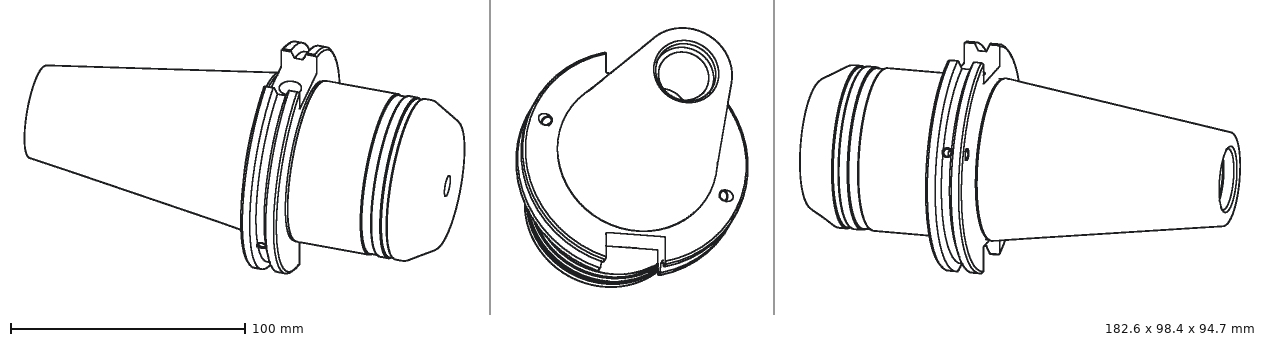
import cadquery as cq
import math


TAPER_LENGTH = 101.6
GAUGE_RADIUS = 69.85 / 2
TAPER_RATIO = 7 / 24
TAPER_END_RADIUS = GAUGE_RADIUS - TAPER_LENGTH * TAPER_RATIO / 2
TAPER_END_FILLET = 1.0

NECK_RADIUS = 68.9 / 2
NECK_FILLET = 0.6
NECK_RAMP = 0.8

FLANGE_START = 3.18
FLANGE_END = 19.05
FLANGE_CENTER = (FLANGE_START + FLANGE_END) / 2
FLANGE_RADIUS = 98.43 / 2
FLANGE_CHAMFER = 1.0
V_CENTER = 11.0
V_FLOOR_WIDTH = 3.6
V_TOP_WIDTH = 7.1
V_FLOOR_RADIUS = 45.65

BODY_RADIUS = 69.9 / 2
COLLAR_RADIUS = 69.25 / 2
COLLAR_END = 20.1
NOSE_END = 81.0
NOSE_START = 68.2
NOSE_ANGLE = 30
NOSE_FILLET = 3.0
RING_GROOVES = ((52.5, 57.5), (61.2, 64.4))
RING_GROOVE_DEPTH = 0.5

THROUGH_RADIUS = 8.92 / 2
THREAD_RADIUS = 21.97 / 2
THREAD_DEPTH = 50.0
DRILL_POINT_ANGLE = 118
COUNTERBORE_RADIUS = 26.2 / 2
COUNTERBORE_DEPTH = 5.5
MOUTH_RADIUS = 28.4 / 2

SLOT_WIDTH = 25.9
SLOT_FLARE_START = 46.85
SLOT_FILLET = 0.6
SLOT_FLOOR_TOP = 37.7
SLOT_FLOOR_BOTTOM = 35.3
DIMPLE_RADIUS = 9.53 / 2

COOLANT_ANGLE = 20
COOLANT_TILT = 35
COOLANT_PITCH_RADIUS = 42.0
COOLANT_MOUTH_RADIUS = 5.0 / 2
COOLANT_MOUTH_DEPTH = 1.7
COOLANT_RADIUS = 4.13 / 2
COOLANT_DEPTH = 6.4

PLUG_RADIUS = 3.24 / 2
PLUG_MOUTH_RADIUS = 4.2 / 2
PLUG_DEPTH = 8.0


def drill_point_length(radius):
    """Axial length of a drill-point cone of the given base radius."""
    return radius / math.tan(math.radians(DRILL_POINT_ANGLE / 2))


def make_body():
    """Revolved outer shape."""
    nose_drop = (NOSE_END - NOSE_START) * math.tan(math.radians(NOSE_ANGLE))
    profile = (
        cq.Workplane("XY")
        .moveTo(-TAPER_LENGTH, 0)
        .lineTo(-TAPER_LENGTH, TAPER_END_RADIUS)
        .lineTo(0, GAUGE_RADIUS)
        .lineTo(NECK_RAMP, NECK_RADIUS)
        .lineTo(FLANGE_START - NECK_FILLET, NECK_RADIUS)
        .radiusArc((FLANGE_START, NECK_RADIUS + NECK_FILLET), -NECK_FILLET)
        .lineTo(FLANGE_START, FLANGE_RADIUS - FLANGE_CHAMFER)
        .lineTo(FLANGE_START + FLANGE_CHAMFER, FLANGE_RADIUS)
        .lineTo(V_CENTER - V_TOP_WIDTH / 2, FLANGE_RADIUS)
        .lineTo(V_CENTER - V_FLOOR_WIDTH / 2, V_FLOOR_RADIUS)
        .lineTo(V_CENTER + V_FLOOR_WIDTH / 2, V_FLOOR_RADIUS)
        .lineTo(V_CENTER + V_TOP_WIDTH / 2, FLANGE_RADIUS)
        .lineTo(FLANGE_END - FLANGE_CHAMFER, FLANGE_RADIUS)
        .lineTo(FLANGE_END, FLANGE_RADIUS - FLANGE_CHAMFER)
        .lineTo(FLANGE_END, COLLAR_RADIUS)
        .lineTo(COLLAR_END, COLLAR_RADIUS)
        .lineTo(COLLAR_END, BODY_RADIUS)
    )
    for start, end in RING_GROOVES:
        profile = (
            profile.lineTo(start, BODY_RADIUS)
            .lineTo(start + RING_GROOVE_DEPTH, BODY_RADIUS - RING_GROOVE_DEPTH)
            .lineTo(end - RING_GROOVE_DEPTH, BODY_RADIUS - RING_GROOVE_DEPTH)
            .lineTo(end, BODY_RADIUS)
        )
    profile = (
        profile.lineTo(NOSE_START, BODY_RADIUS)
        .lineTo(NOSE_END, BODY_RADIUS - nose_drop)
        .lineTo(NOSE_END, 0)
        .close()
    )
    body = profile.revolve(360, (0, 0, 0), (1, 0, 0))
    nose_edges = cq.selectors.BoxSelector(
        (NOSE_START - NOSE_FILLET, -BODY_RADIUS, -BODY_RADIUS),
        (NOSE_END + NOSE_FILLET, BODY_RADIUS, BODY_RADIUS),
    )
    body = body.edges(nose_edges).edges("%CIRCLE").fillet(NOSE_FILLET)
    return body.faces("<X").edges().fillet(TAPER_END_FILLET)


def make_bore():
    """Stepped drawbar bore opening at the small end, drilled through to the nose."""
    mouth = -TAPER_LENGTH
    mouth_chamfer = MOUTH_RADIUS - COUNTERBORE_RADIUS
    thread_end = mouth + THREAD_DEPTH
    point_end = thread_end + drill_point_length(THREAD_RADIUS - THROUGH_RADIUS)
    return (
        cq.Workplane("XY")
        .moveTo(mouth, 0)
        .lineTo(mouth, MOUTH_RADIUS)
        .lineTo(mouth + mouth_chamfer, COUNTERBORE_RADIUS)
        .lineTo(mouth + COUNTERBORE_DEPTH, COUNTERBORE_RADIUS)
        .lineTo(mouth + COUNTERBORE_DEPTH, THREAD_RADIUS)
        .lineTo(thread_end, THREAD_RADIUS)
        .lineTo(point_end, THROUGH_RADIUS)
        .lineTo(NOSE_END, THROUGH_RADIUS)
        .lineTo(NOSE_END, 0)
        .close()
        .revolve(360, (0, 0, 0), (1, 0, 0))
    )


def make_slot(floor_height, side):
    """Drive slot through the flange; side is +1 for +Z and -1 for -Z."""
    half_width = SLOT_WIDTH / 2
    flare = FLANGE_RADIUS - SLOT_FLARE_START
    slot = (
        cq.Workplane("YZ", origin=(FLANGE_START, 0, 0))
        .moveTo(-half_width, side * floor_height)
        .lineTo(half_width, side * floor_height)
        .lineTo(half_width, side * SLOT_FLARE_START)
        .lineTo(half_width + flare, side * FLANGE_RADIUS)
        .lineTo(-half_width - flare, side * FLANGE_RADIUS)
        .lineTo(-half_width, side * SLOT_FLARE_START)
        .close()
        .extrude(FLANGE_END - FLANGE_START)
    )
    floor_face = "<Z" if side > 0 else ">Z"
    return slot.faces(floor_face).edges("|X").fillet(SLOT_FILLET)


def make_dimple():
    """Conical dimple in the floor of the +Z slot."""
    cone = cq.Solid.makeCone(
        DIMPLE_RADIUS,
        0,
        drill_point_length(DIMPLE_RADIUS),
        cq.Vector(FLANGE_CENTER, 0, SLOT_FLOOR_TOP),
        cq.Vector(0, 0, -1),
    )
    return cq.Workplane(cone)


def make_blind_hole(radius, depth, start, direction):
    """Drilled hole with a pointed bottom."""
    drill = cq.Solid.makeCylinder(radius, depth, start, direction)
    tip = cq.Solid.makeCone(radius, 0, drill_point_length(radius), start + direction * depth, direction)
    return cq.Workplane(drill.fuse(tip))


def outward_direction(angle):
    """Unit vector pointing away from the axis at the given angle from +Y."""
    turn = math.radians(angle)
    return cq.Vector(0, math.cos(turn), math.sin(turn))


def make_coolant_hole(angle):
    """Counterbored hole that runs from the flange face inward towards the axis."""
    tilt = math.radians(COOLANT_TILT)
    outward = outward_direction(angle)
    direction = cq.Vector(math.cos(tilt), 0, 0) - outward * math.sin(tilt)
    start = cq.Vector(FLANGE_START, 0, 0) + outward * COOLANT_PITCH_RADIUS
    lead = 2 * COOLANT_MOUTH_RADIUS
    mouth = cq.Solid.makeCylinder(
        COOLANT_MOUTH_RADIUS, COOLANT_MOUTH_DEPTH + lead, start - direction * lead, direction
    )
    return make_blind_hole(COOLANT_RADIUS, COOLANT_DEPTH, start, direction).union(cq.Workplane(mouth))


def make_plug_hole(angle):
    """Radial hole in the V-groove with a chamfered mouth."""
    outward = outward_direction(angle)
    inward = outward * -1
    chamfer = PLUG_MOUTH_RADIUS - PLUG_RADIUS
    lead = FLANGE_RADIUS - V_FLOOR_RADIUS
    start = cq.Vector(V_CENTER, 0, 0) + outward * V_FLOOR_RADIUS
    entry = cq.Solid.makeCylinder(PLUG_MOUTH_RADIUS, lead, start + outward * lead, inward)
    mouth = cq.Solid.makeCone(PLUG_MOUTH_RADIUS, PLUG_RADIUS, chamfer, start, inward)
    hole = make_blind_hole(PLUG_RADIUS, PLUG_DEPTH, start, inward)
    return hole.union(cq.Workplane(mouth)).union(cq.Workplane(entry))


result = make_body().cut(make_bore())
result = result.cut(make_slot(SLOT_FLOOR_TOP, 1)).cut(make_slot(SLOT_FLOOR_BOTTOM, -1))
result = result.cut(make_dimple())
for position in (COOLANT_ANGLE, COOLANT_ANGLE + 180):
    result = result.cut(make_coolant_hole(position)).cut(make_plug_hole(position))